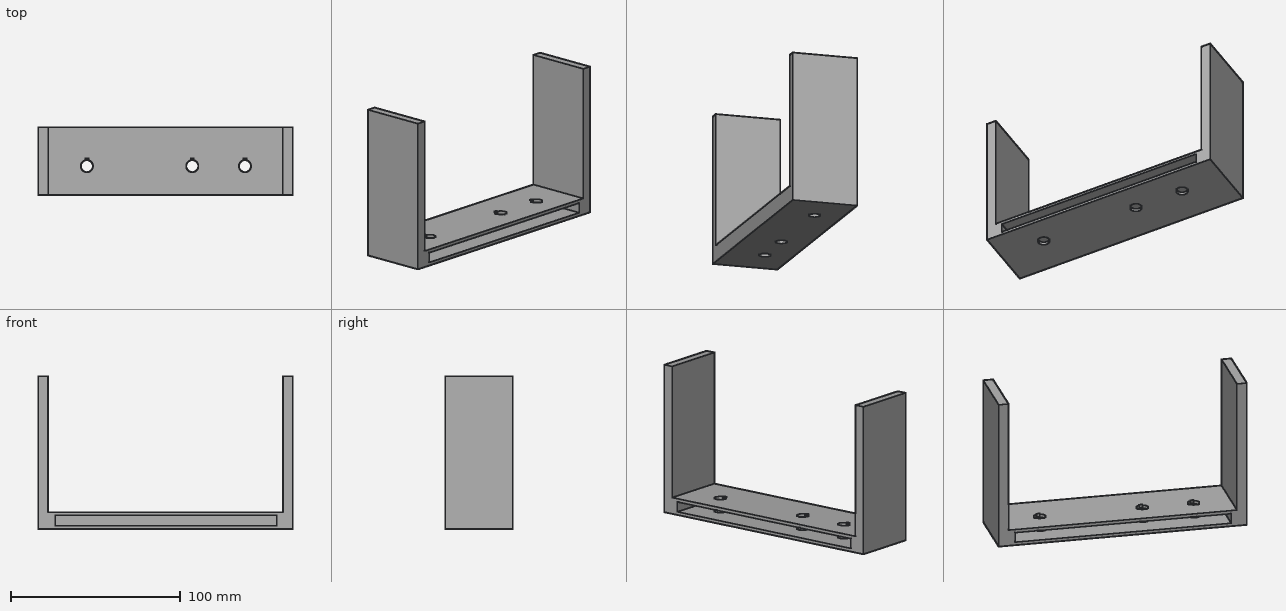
import cadquery as cq

length = 150.0
depth = 40.0
height = 90.0
side_wall = 6.0
base_thickness = 10.0

skin = 2.0
slot_left = 10.0
slot_length = 130.5
slot_height = base_thickness - 2 * skin
slot_depth = depth - skin

hole_diameter = 7.0
hole_y = 17.0
hole_pitch = 31.0
first_hole_x = 28.75
hole_steps = (0, 2, 3)
key_width = 2.0
key_reach = 4.5


def corner_box(size_x, size_y, size_z, corner):
    """Box grown from its lowest X, Y, Z corner."""
    return cq.Workplane("XY").box(size_x, size_y, size_z, centered=False).translate(corner)


def make_bracket():
    """Solid base with a wall standing at each end."""
    block = corner_box(length, depth, height, (0, 0, 0))
    opening = corner_box(
        length - 2 * side_wall,
        depth,
        height - base_thickness,
        (side_wall, 0, base_thickness),
    )
    return block.cut(opening)


def make_slot():
    """Flat pocket entering the base from the front face."""
    return corner_box(slot_length, slot_depth, slot_height, (slot_left, 0, skin))


def make_keyed_hole(x):
    """Round hole through the whole base, with a key notch in the upper skin only."""
    bore = cq.Workplane("XY").center(x, hole_y).circle(hole_diameter / 2).extrude(base_thickness)
    notch = corner_box(
        key_width,
        key_reach,
        skin,
        (x - key_width / 2, hole_y, base_thickness - skin),
    )
    return bore.union(notch)


result = make_bracket().cut(make_slot())
for step in hole_steps:
    result = result.cut(make_keyed_hole(first_hole_x + step * hole_pitch))